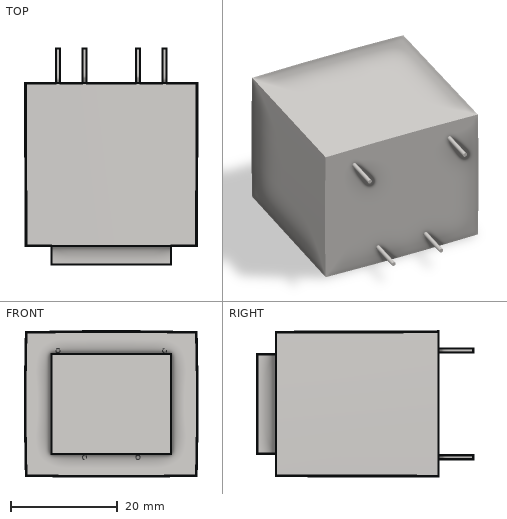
import cadquery as cq
import math

BODY_WIDTH = 32.37
BODY_HEIGHT = 27.3
BODY_LENGTH = 30.5
SIDE_BULGE = 0.185
DRAFT_ANGLE = 0.2

PLATE_WIDTH = 22.4
PLATE_HEIGHT = 18.7
PLATE_THICKNESS = 3.5

PIN_DIAMETER = 0.8
PIN_LENGTH = 6.5
PIN_ROW_Z = 10.0
UPPER_PIN_X = 10.0
LOWER_PIN_X = 5.0

TOTAL_LENGTH = PIN_LENGTH + BODY_LENGTH + PLATE_THICKNESS
PLATE_FRONT_Y = -TOTAL_LENGTH / 2
BODY_FRONT_Y = PLATE_FRONT_Y + PLATE_THICKNESS
BODY_BACK_Y = BODY_FRONT_Y + BODY_LENGTH


def section_plane(y):
    """XZ work plane at the given Y, with its normal toward -Y."""
    return cq.Workplane("XZ", origin=(0, y, 0))


def crowned_rectangle(plane, inset):
    """Rectangle with four outward arcs, moved inward by the inset on every side."""
    crown_x = BODY_WIDTH / 2 - inset
    crown_z = BODY_HEIGHT / 2 - inset
    corner_x = crown_x - SIDE_BULGE
    corner_z = crown_z - SIDE_BULGE
    return (
        plane.moveTo(-corner_x, -corner_z)
        .threePointArc((0, -crown_z), (corner_x, -corner_z))
        .threePointArc((crown_x, 0), (corner_x, corner_z))
        .threePointArc((0, crown_z), (-corner_x, corner_z))
        .threePointArc((-crown_x, 0), (-corner_x, -corner_z))
        .close()
    )


def make_body():
    """Drafted block with bulged sides, largest at the pin face."""
    front_inset = BODY_LENGTH * math.tan(math.radians(DRAFT_ANGLE))
    back_section = crowned_rectangle(section_plane(BODY_BACK_Y), 0)
    front_plane = back_section.workplane(offset=BODY_LENGTH)
    return crowned_rectangle(front_plane, front_inset).loft(ruled=True)


def make_plate():
    """Flat rectangular pad standing out of the -Y face."""
    return section_plane(BODY_FRONT_Y).rect(PLATE_WIDTH, PLATE_HEIGHT).extrude(PLATE_THICKNESS)


def make_pins():
    """Two pairs of round pins; the upper pair is spaced wider than the lower."""
    centres = []
    for side in (-1, 1):
        centres.append((side * UPPER_PIN_X, PIN_ROW_Z))
        centres.append((side * LOWER_PIN_X, -PIN_ROW_Z))
    return (
        section_plane(BODY_BACK_Y)
        .pushPoints(centres)
        .circle(PIN_DIAMETER / 2)
        .extrude(-PIN_LENGTH)
    )


result = make_body().union(make_plate()).union(make_pins())